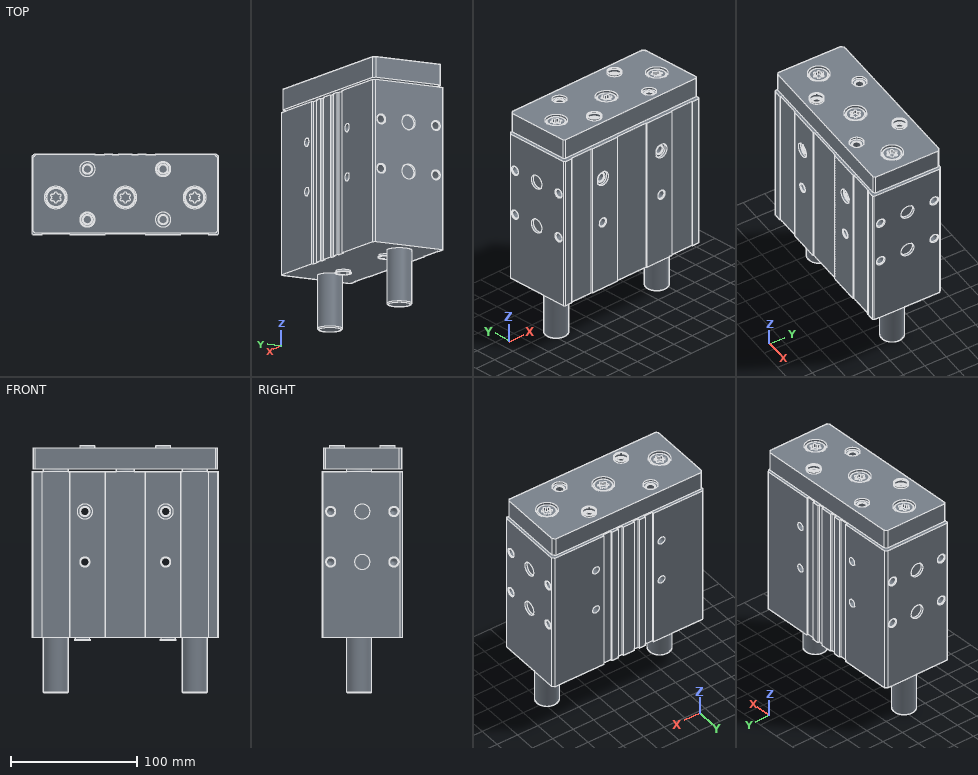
import cadquery as cq
import math


housing_width = 148.0
housing_depth = 64.1
housing_height = 131.5
front_y = -housing_depth / 2
back_y = housing_depth / 2
half_width = housing_width / 2
front_corner_chamfer = 1.0
back_corner_chamfer = 2.0
band_depth = 0.7
band_wall_run = 0.6
center_band_half_width = 16.1
side_band_inner_x = 43.7
side_band_outer_x = 65.8
back_slot_depth = 1.5
back_slots = [(20.2, 7.8), (7.8, 4.9)]

thread_core_diameter = 6.65
thread_mouth_diameter = 8.0
locating_diameter = 12.0
locating_depth = 2.1
hole_row_spacing = 40.0
upper_row_drop = 31.5
upper_row_z = housing_height - upper_row_drop
lower_row_z = upper_row_z - hole_row_spacing
front_hole_x = 32.0
side_hole_y = 25.0
side_hole_depth = 18.0
drill_point_angle = 118.0

rod_y = -2.5
guide_rod_x = 55.0
guide_rod_diameter = 20.0
guide_rod_drop = 44.0
guide_rod_chamfer = 1.0
piston_rod_diameter = 14.5
piston_rod_insertion = 100.0
plate_gap = 2.0

plate_width = 146.0
plate_depth = 62.0
plate_thickness = 16.8
plate_center_y = 0.4
plate_front_chamfer = 1.4
plate_back_chamfer = 2.2
plate_bottom_z = housing_height + plate_gap
plate_top_z = plate_bottom_z + plate_thickness
plate_hole_x = 30.0
plate_hole_y = 20.0
sleeve_bore_diameter = 10.4
sleeve_height = 2.0
sleeve_chamfer = 0.35

screw_head_diameter = 16.0
screw_head_height = 6.0
screw_head_chamfer = 0.8
screw_recess = 1.0
screw_shank_diameter = 10.0
screw_rod_engagement = 12.0
screw_clearance_diameter = 11.0
counterbore_diameter = 18.0
counterbore_depth = screw_head_height + screw_recess
socket_core_diameter = 6.6
socket_lobe_diameter = 2.0
socket_width = 9.0
socket_depth = 3.5
socket_lobes = 6

plug_x = 34.0
plug_neck_diameter = 11.45
plug_rim_diameter = 12.8
plug_neck_length = 1.5
plug_rim_thickness = 0.6

rod_positions = [(-guide_rod_x, rod_y), (0, rod_y), (guide_rod_x, rod_y)]


def cylinder_z(x, y, bottom_z, diameter, height):
    return cq.Workplane("XY", origin=(x, y, bottom_z)).circle(diameter / 2).extrude(height)


def tapped_hole(start, direction, depth, pointed):
    """Cutter for a threaded hole with a countersunk mouth and, if pointed, a drill tip."""
    start = cq.Vector(*start)
    direction = cq.Vector(*direction)
    core_radius = thread_core_diameter / 2
    mouth_radius = thread_mouth_diameter / 2
    core = cq.Solid.makeCylinder(core_radius, depth, start, direction)
    mouth = cq.Solid.makeCone(mouth_radius, core_radius, mouth_radius - core_radius, start, direction)
    cutter = cq.Workplane(core).union(cq.Workplane(mouth))
    if pointed:
        tip_length = core_radius / math.tan(math.radians(drill_point_angle / 2))
        tip = cq.Solid.makeCone(core_radius, 0, tip_length, start + direction * depth, direction)
        cutter = cutter.union(cq.Workplane(tip))
    return cutter


def locating_hole(start, direction):
    frame = cq.Plane(origin=start, normal=direction)
    return cq.Workplane(frame).circle(locating_diameter / 2).extrude(locating_depth)


def front_band(left_x, right_x, left_run, right_run):
    """Shallow full-height recess in the front face; each wall leans by its run."""
    floor_y = front_y + band_depth
    return (
        cq.Workplane("XY")
        .polyline(
            [
                (left_x, front_y),
                (right_x, front_y),
                (right_x - right_run, floor_y),
                (left_x + left_run, floor_y),
            ]
        )
        .close()
        .extrude(housing_height)
    )


def housing_block():
    body = cq.Workplane("XY").box(
        housing_width, housing_depth, housing_height, centered=(True, True, False)
    )
    body = body.edges("|Z and <Y").chamfer(front_corner_chamfer)
    body = body.edges("|Z and >Y").chamfer(back_corner_chamfer)
    center_x = center_band_half_width
    body = body.cut(front_band(-center_x, center_x, band_wall_run, band_wall_run))
    body = body.cut(front_band(side_band_inner_x, side_band_outer_x, band_wall_run, 0))
    body = body.cut(front_band(-side_band_outer_x, -side_band_inner_x, 0, band_wall_run))
    for side in (-1, 1):
        for slot_x, slot_width in back_slots:
            slot = cq.Workplane("XY", origin=(side * slot_x, back_y, 0))
            body = body.cut(slot.rect(slot_width, 2 * back_slot_depth).extrude(housing_height))
    return body


def add_plugs(body):
    for x in (-plug_x, plug_x):
        body = body.union(cylinder_z(x, rod_y, -plug_neck_length, plug_neck_diameter, plug_neck_length))
        rim_bottom = -plug_neck_length - plug_rim_thickness
        body = body.union(cylinder_z(x, rod_y, rim_bottom, plug_rim_diameter, plug_rim_thickness))
    return body


def make_housing():
    body = add_plugs(housing_block())
    for x, y in (rod_positions[0], rod_positions[2]):
        body = body.cut(cylinder_z(x, y, 0, guide_rod_diameter, housing_height))
    piston_bottom = housing_height - piston_rod_insertion
    body = body.cut(cylinder_z(0, rod_y, piston_bottom, piston_rod_diameter, piston_rod_insertion))

    for x in (-front_hole_x, front_hole_x):
        for z in (upper_row_z, lower_row_z):
            mouth_y = front_y + (locating_depth if z == upper_row_z else 0)
            body = body.cut(tapped_hole((x, mouth_y, z), (0, 1, 0), housing_depth, False))
        body = body.cut(locating_hole((x, front_y, upper_row_z), (0, 1, 0)))

    for side in (-1, 1):
        face_x = side * half_width
        inward = (-side, 0, 0)
        for z in (upper_row_z, lower_row_z):
            body = body.cut(locating_hole((face_x, 0, z), inward))
            for y in (-side_hole_y, side_hole_y):
                body = body.cut(tapped_hole((face_x, y, z), inward, side_hole_depth, True))
    return body


def locating_sleeve(x, y):
    """Ring standing in a locating hole of the plate and rising above its top face."""
    length = sleeve_height + locating_depth
    ring = (
        cq.Workplane("XY", origin=(x, y, plate_top_z - locating_depth))
        .circle(locating_diameter / 2)
        .circle(sleeve_bore_diameter / 2)
        .extrude(length)
    )
    return ring.faces(">Z").edges().chamfer(sleeve_chamfer)


def make_plate():
    body = cq.Workplane("XY", origin=(0, plate_center_y, plate_bottom_z)).box(
        plate_width, plate_depth, plate_thickness, centered=(True, True, False)
    )
    body = body.edges("|Z and <Y").chamfer(plate_front_chamfer)
    body = body.edges("|Z and >Y").chamfer(plate_back_chamfer)
    for x, y in rod_positions:
        body = body.cut(cylinder_z(x, y, plate_bottom_z, screw_clearance_diameter, plate_thickness))
        floor_z = plate_top_z - counterbore_depth
        body = body.cut(cylinder_z(x, y, floor_z, counterbore_diameter, counterbore_depth))
    for x in (-plate_hole_x, plate_hole_x):
        for y in (-plate_hole_y, plate_hole_y):
            floor = (x, y, plate_top_z - locating_depth)
            body = body.cut(tapped_hole(floor, (0, 0, -1), plate_thickness, False))
            body = body.cut(locating_hole((x, y, plate_top_z), (0, 0, -1)))
            if x * y > 0:
                body = body.union(locating_sleeve(x, y))
    return body


def rod(x, y, bottom_z, diameter):
    """Round rod reaching up to the plate, bored at its top for the screw."""
    body = cylinder_z(x, y, bottom_z, diameter, plate_bottom_z - bottom_z)
    bore_bottom = plate_bottom_z - screw_rod_engagement
    return body.cut(cylinder_z(x, y, bore_bottom, screw_shank_diameter, screw_rod_engagement))


def make_guide_rod(x, y):
    return rod(x, y, -guide_rod_drop, guide_rod_diameter).faces("<Z").chamfer(guide_rod_chamfer)


def make_piston_rod():
    return rod(0, rod_y, housing_height - piston_rod_insertion, piston_rod_diameter)


def star_socket(x, y, top_z):
    bottom_z = top_z - socket_depth
    cutter = cylinder_z(x, y, bottom_z, socket_core_diameter, socket_depth)
    lobe_radius = (socket_width - socket_lobe_diameter) / 2
    for index in range(socket_lobes):
        angle = math.pi / 2 + index * 2 * math.pi / socket_lobes
        lobe_x = x + lobe_radius * math.cos(angle)
        lobe_y = y + lobe_radius * math.sin(angle)
        cutter = cutter.union(cylinder_z(lobe_x, lobe_y, bottom_z, socket_lobe_diameter, socket_depth))
    return cutter


def make_screw(x, y):
    seat_z = plate_top_z - counterbore_depth
    head = cylinder_z(x, y, seat_z, screw_head_diameter, screw_head_height)
    head = head.faces(">Z").chamfer(screw_head_chamfer)
    shank_bottom = plate_bottom_z - screw_rod_engagement
    shank = cylinder_z(x, y, shank_bottom, screw_shank_diameter, seat_z - shank_bottom)
    return head.union(shank).cut(star_socket(x, y, seat_z + screw_head_height))


housing = make_housing()
plate = make_plate()
piston_rod = make_piston_rod()
guide_rods = [make_guide_rod(x, y) for x, y in (rod_positions[0], rod_positions[2])]
screws = [make_screw(x, y) for x, y in rod_positions]

result = cq.Compound.makeCompound(
    [
        housing.val(),
        plate.val(),
        piston_rod.val(),
        *[guide_rod.val() for guide_rod in guide_rods],
        *[screw.val() for screw in screws],
    ]
)